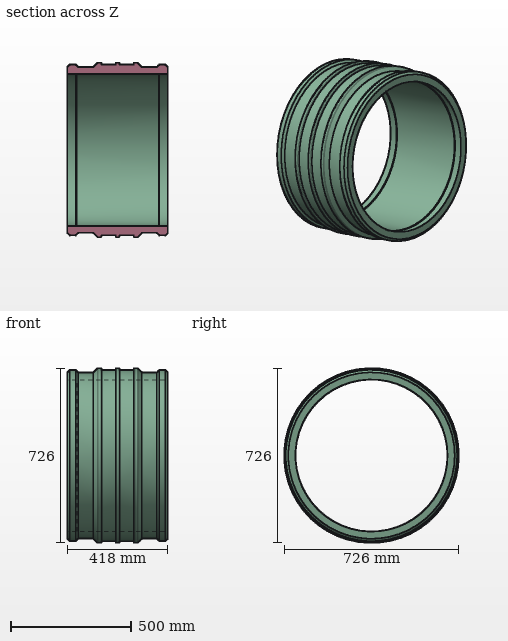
import cadquery as cq
import math

length = 418.0
bore_diameter = 630.0
body_diameter = 712.0
rib_diameter = 726.0

cone_angle = math.radians(45)
flange_diameter = 711.48
neck_diameter = 690.64
flange_land = 25.0
neck_length = 62.0

rib_width = 17.0
rib_fillet = 4.0

groove_width = 3.0
groove_depth = 1.0
groove_inset = 37.5

half_length = length / 2
bore_radius = bore_diameter / 2
body_radius = body_diameter / 2
rib_radius = rib_diameter / 2
flange_radius = flange_diameter / 2
neck_radius = neck_diameter / 2
flange_bevel = (flange_radius - neck_radius) / math.tan(cone_angle)
shoulder_cone = (rib_radius - neck_radius) / math.tan(cone_angle)

flange_outer_edge = half_length - flange_bevel
flange_inner_edge = flange_outer_edge - flange_land
neck_outer_end = flange_inner_edge - flange_bevel
neck_inner_end = neck_outer_end - neck_length
rib_outer_edge = neck_inner_end - shoulder_cone
rib_inner_side = rib_outer_edge - rib_width
centre_rib_side = rib_width / 2
centre_rib_flat = centre_rib_side - rib_fillet

corner_setback = rib_fillet * math.tan(cone_angle / 2)
corner_advance = corner_setback * math.cos(cone_angle)
corner_drop = corner_setback * math.sin(cone_angle)


def revolve_about_x(outline):
    """Revolve a closed (axial, radial) outline about the X axis."""
    return outline.revolve(360, (0, 0, 0), (1, 0, 0))


def solid_half():
    """The +X half of the sleeve without its bore and centre rib."""
    outline = (
        cq.Workplane("XY")
        .lineTo(0, body_radius)
        .lineTo(rib_inner_side, body_radius)
        .lineTo(rib_inner_side, rib_radius - rib_fillet)
        .radiusArc((rib_inner_side + rib_fillet, rib_radius), rib_fillet)
        .lineTo(rib_outer_edge - corner_setback, rib_radius)
        .radiusArc((rib_outer_edge + corner_advance, rib_radius - corner_drop), rib_fillet)
        .lineTo(neck_inner_end, neck_radius)
        .lineTo(neck_outer_end, neck_radius)
        .lineTo(flange_inner_edge, flange_radius)
        .lineTo(flange_outer_edge, flange_radius)
        .lineTo(half_length, neck_radius)
        .lineTo(half_length, 0)
        .close()
    )
    return revolve_about_x(outline)


def centre_rib():
    """Disc around the middle of the sleeve with rounded outer edges."""
    outline = (
        cq.Workplane("XY")
        .moveTo(-centre_rib_side, 0)
        .lineTo(-centre_rib_side, rib_radius - rib_fillet)
        .radiusArc((-centre_rib_flat, rib_radius), rib_fillet)
        .lineTo(centre_rib_flat, rib_radius)
        .radiusArc((centre_rib_side, rib_radius - rib_fillet), rib_fillet)
        .lineTo(centre_rib_side, 0)
        .close()
    )
    return revolve_about_x(outline)


def disc(radius, width, axial_centre):
    """Cylinder along X centred on an axial station."""
    start = axial_centre - width / 2
    return cq.Workplane("YZ", origin=(start, 0, 0)).circle(radius).extrude(width)


half = solid_half()
result = half.union(half.mirror("YZ")).union(centre_rib())
result = result.cut(disc(bore_radius, length, 0))

for side in (-1, 1):
    groove_centre = side * (half_length - groove_inset)
    result = result.cut(disc(bore_radius + groove_depth, groove_width, groove_centre))